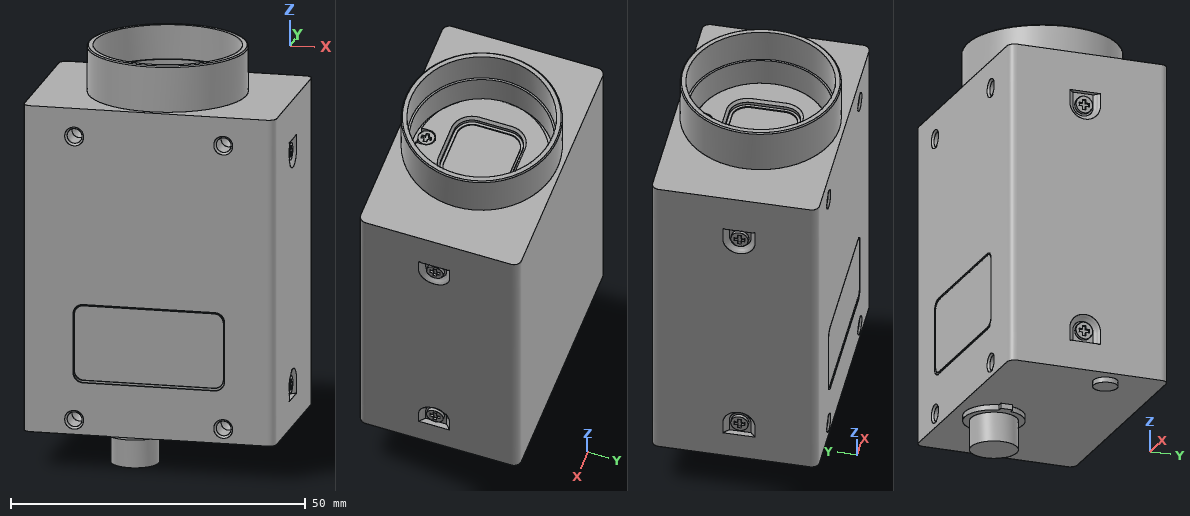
import cadquery as cq
import math

TOTAL_HEIGHT = 71.8
WIDTH = 44.0
DEPTH = 29.0
CORNER_RADIUS = 1.4

CONNECTOR_LENGTH = 6.2
HOUSING_HEIGHT = 57.5
REAR_CAP_HEIGHT = 5.0
FRONT_CAP_HEIGHT = 6.9
SLEEVE_TOP = HOUSING_HEIGHT - FRONT_CAP_HEIGHT
SLEEVE_HEIGHT = SLEEVE_TOP - REAR_CAP_HEIGHT
SLEEVE_JOINT_Y = -8.2

MOUNT_TOP = TOTAL_HEIGHT - CONNECTOR_LENGTH
MOUNT_RADIUS = 13.7
MOUNT_CHAMFER = 0.2
THREAD_RADIUS = 12.7
THREAD_DEPTH = 6.0
BORE_RADIUS = 12.35
SENSOR_PLATE_RADIUS = 11.5
SENSOR_PLATE_DEPTH = 10.35
SENSOR_PLATE_TOP = MOUNT_TOP - SENSOR_PLATE_DEPTH
MOAT_DEPTH = 1.45

WINDOW_WIDTH = 14.0
WINDOW_LENGTH = 13.3
WINDOW_RADIUS = 3.7
WINDOW_CHAMFER = 0.47
WINDOW_BEVEL_ANGLE = 45.0
WINDOW_DEPTH = 1.0
GLASS_MARGIN = 0.5
GLASS_DROP = 0.2

CROSS_SPAN_RATIO = 0.6
CROSS_SLOT_RATIO = 0.2
CROSS_DEPTH = 0.4
SENSOR_SCREW_RADIUS = 1.45
SENSOR_SCREW_OFFSET = 10.0
SENSOR_RECESS_RADIUS = 1.6
SENSOR_RECESS_DEPTH = 1.0
SENSOR_HEAD_HEIGHT = 0.9

POCKET_Y = -0.8
POCKET_SETBACK = 2.2
POCKET_RADIUS = 2.8
POCKET_STEP_RADIUS = 2.3
POCKET_FLOOR_RADIUS = 1.9
POCKET_CHAMFER = 0.3
POCKET_STEP_DEPTH = 0.6
POCKET_DEPTH = 1.0
SIDE_SCREW_RADIUS = 1.5
SIDE_HEAD_HEIGHT = 0.65

HOLE_OFFSET_X = 13.0
LOWER_HOLE_Z = 2.6
UPPER_HOLE_Z = HOUSING_HEIGHT - 4.95
HOLE_RADIUS = 1.3
HOLE_MOUTH_RADIUS = 1.65
HOLE_DEPTH = 4.0
DRILL_TIP_ANGLE = 118.0

LABEL_WIDTH = 26.4
LABEL_HEIGHT = 13.8
LABEL_Z = 16.1
LABEL_RADIUS = 1.8
LABEL_DEPTH = 0.3
LABEL_THICKNESS = 0.2
LABEL_GAP = 0.2
LABEL_LOWER_GAP = 0.4

BASE_THICKNESS = 0.9
CONNECTOR_X = -4.0
CONNECTOR_Y = -7.25
CONNECTOR_RADIUS = 4.2
CONNECTOR_BASE_RADIUS = 5.3
KEY_REACH = 6.0
KEY_WIDTH = 2.15
INDICATOR_X = 18.0
INDICATOR_Y = 4.45
INDICATOR_RADIUS = 2.15


def block(height, bottom):
    """Housing section with rounded vertical edges."""
    return (
        cq.Workplane("XY", origin=(0, 0, bottom))
        .rect(WIDTH, DEPTH)
        .extrude(height)
        .edges("|Z")
        .fillet(CORNER_RADIUS)
    )


def disc(x, y, bottom, radius, height):
    return cq.Workplane("XY", origin=(x, y, bottom)).circle(radius).extrude(height)


def cross_screw(radius, height):
    """Screw head standing on Z = 0, with a cross recess in its top."""
    span = 2 * radius * CROSS_SPAN_RATIO
    slot = 2 * radius * CROSS_SLOT_RATIO
    cutter = cq.Workplane("XY", origin=(0, 0, height - CROSS_DEPTH)).rect(span, slot).extrude(CROSS_DEPTH)
    cutter = cutter.union(cutter.rotate((0, 0, 0), (0, 0, 1), 90))
    return disc(0, 0, 0, radius, height).cut(cutter)


def mount_body():
    ring = disc(0, 0, HOUSING_HEIGHT, MOUNT_RADIUS, MOUNT_TOP - HOUSING_HEIGHT)
    return ring.faces(">Z").edges().chamfer(MOUNT_CHAMFER)


def mount_bore():
    """Threaded mouth above a narrower bore, with a moat around the raised sensor plate."""
    ledge = MOUNT_TOP - THREAD_DEPTH
    moat_floor = SENSOR_PLATE_TOP - MOAT_DEPTH
    profile = [
        (0, SENSOR_PLATE_TOP),
        (SENSOR_PLATE_RADIUS, SENSOR_PLATE_TOP),
        (SENSOR_PLATE_RADIUS, moat_floor),
        (BORE_RADIUS, moat_floor),
        (BORE_RADIUS, ledge),
        (THREAD_RADIUS, ledge),
        (THREAD_RADIUS, MOUNT_TOP),
        (0, MOUNT_TOP),
    ]
    return cq.Workplane("XZ").polyline(profile).close().revolve(360, (0, 0), (0, 1))


def window_pocket(inset, depth, taper=0):
    """Window-shaped cutter reaching down from the sensor plate."""
    outline = (
        cq.Sketch()
        .rect(WINDOW_WIDTH - 2 * inset, WINDOW_LENGTH - 2 * inset)
        .vertices()
        .fillet(WINDOW_RADIUS - inset)
    )
    plate_plane = cq.Workplane("XY", origin=(0, 0, SENSOR_PLATE_TOP))
    return plate_plane.placeSketch(outline).extrude(-depth, taper=taper)


def window_cutter():
    bevel = window_pocket(0, WINDOW_CHAMFER, taper=WINDOW_BEVEL_ANGLE)
    frame = window_pocket(WINDOW_CHAMFER, WINDOW_DEPTH)
    glass = window_pocket(WINDOW_CHAMFER + GLASS_MARGIN, WINDOW_DEPTH + GLASS_DROP)
    return bevel.union(frame).union(glass)


def sensor_screw_recess(side):
    """U-shaped recess that opens into the moat."""
    bottom = SENSOR_PLATE_TOP - SENSOR_RECESS_DEPTH
    length = SENSOR_PLATE_RADIUS - SENSOR_SCREW_OFFSET
    round_end = disc(0, side * SENSOR_SCREW_OFFSET, bottom, SENSOR_RECESS_RADIUS, SENSOR_RECESS_DEPTH)
    open_end = (
        cq.Workplane("XY", origin=(0, side * (SENSOR_SCREW_OFFSET + length / 2), bottom))
        .rect(2 * SENSOR_RECESS_RADIUS, length)
        .extrude(SENSOR_RECESS_DEPTH)
    )
    return round_end.union(open_end)


def sensor_screw(side):
    screw = cross_screw(SENSOR_SCREW_RADIUS, SENSOR_HEAD_HEIGHT)
    return screw.translate((0, side * SENSOR_SCREW_OFFSET, SENSOR_PLATE_TOP - SENSOR_RECESS_DEPTH))


def side_pocket():
    """Stepped U-shaped cutter below Z = 0: round about the origin, open toward +Y at the cap joint."""
    half_section = [
        (POCKET_FLOOR_RADIUS, -POCKET_DEPTH),
        (POCKET_STEP_RADIUS, -POCKET_STEP_DEPTH),
        (POCKET_RADIUS - POCKET_CHAMFER, -POCKET_CHAMFER),
        (POCKET_RADIUS, 0),
    ]
    round_end = (
        cq.Workplane("XZ")
        .polyline([(0, -POCKET_DEPTH), *half_section, (0, 0)])
        .close()
        .revolve(360, (0, 0), (0, 1))
    )
    mirrored = [(-x, z) for x, z in reversed(half_section)]
    open_end = cq.Workplane("XZ").polyline(mirrored + half_section).close().extrude(-POCKET_SETBACK)
    return round_end.union(open_end)


def place_on_side(shape, x_side, at_top):
    """Move a feature from the XY plane to one side face, with its +Y pointing at the nearer cap."""
    if not at_top:
        shape = shape.rotate((0, 0, 0), (0, 0, 1), 180)
    z = SLEEVE_TOP - POCKET_SETBACK if at_top else REAR_CAP_HEIGHT + POCKET_SETBACK
    upright = shape.rotate((0, 0, 0), (1, 0, 0), 90).rotate((0, 0, 0), (0, 0, 1), x_side * 90)
    return upright.translate((x_side * WIDTH / 2, POCKET_Y, z))


def mounting_hole():
    """Countersunk blind hole with a drill tip, running along +Y from the origin."""
    tip = HOLE_RADIUS / math.tan(math.radians(DRILL_TIP_ANGLE / 2))
    profile = [
        (0, 0),
        (HOLE_MOUTH_RADIUS, 0),
        (HOLE_RADIUS, HOLE_MOUTH_RADIUS - HOLE_RADIUS),
        (HOLE_RADIUS, HOLE_DEPTH),
        (0, HOLE_DEPTH + tip),
    ]
    return cq.Workplane("XY").polyline(profile).close().revolve(360, (0, 0), (0, 1))


def label_panel(width, height, center_z, radius, back_y, thickness):
    """Rounded rectangular panel standing on the plane Y = back_y and extending toward -Y."""
    return (
        cq.Workplane("XZ", origin=(0, back_y, center_z))
        .rect(width, height)
        .extrude(thickness)
        .edges("|Y")
        .fillet(radius)
    )


def add_label(body):
    floor_y = LABEL_DEPTH - DEPTH / 2
    recess = label_panel(LABEL_WIDTH, LABEL_HEIGHT, LABEL_Z, LABEL_RADIUS, floor_y, LABEL_DEPTH)
    plate = label_panel(
        LABEL_WIDTH - 2 * LABEL_GAP,
        LABEL_HEIGHT - LABEL_GAP - LABEL_LOWER_GAP,
        LABEL_Z + (LABEL_LOWER_GAP - LABEL_GAP) / 2,
        LABEL_RADIUS - LABEL_GAP,
        floor_y,
        LABEL_THICKNESS,
    )
    return body.cut(recess).union(plate)


def connector():
    """Cylindrical plug on a keyed base; the key points to +X."""
    base = disc(CONNECTOR_X, CONNECTOR_Y, -BASE_THICKNESS, CONNECTOR_BASE_RADIUS, BASE_THICKNESS)
    key = (
        cq.Workplane("XY", origin=(CONNECTOR_X + KEY_REACH / 2, CONNECTOR_Y, -BASE_THICKNESS))
        .rect(KEY_REACH, KEY_WIDTH)
        .extrude(BASE_THICKNESS)
    )
    plug = disc(CONNECTOR_X, CONNECTOR_Y, -CONNECTOR_LENGTH, CONNECTOR_RADIUS, CONNECTOR_LENGTH)
    return base.union(key).union(plug)


rear_cap = block(REAR_CAP_HEIGHT, 0).union(connector())
rear_cap = rear_cap.union(disc(INDICATOR_X, INDICATOR_Y, -BASE_THICKNESS, INDICATOR_RADIUS, BASE_THICKNESS))

front_cap = block(FRONT_CAP_HEIGHT, SLEEVE_TOP).union(mount_body())

sleeve = add_label(block(SLEEVE_HEIGHT, REAR_CAP_HEIGHT))
for x_side in (-1, 1):
    for at_top in (False, True):
        sleeve = sleeve.cut(place_on_side(side_pocket(), x_side, at_top))
        screw = cross_screw(SIDE_SCREW_RADIUS, SIDE_HEAD_HEIGHT).translate((0, 0, -POCKET_DEPTH))
        sleeve = sleeve.union(place_on_side(screw, x_side, at_top))
joint_plane = cq.Workplane("XZ", origin=(0, SLEEVE_JOINT_Y, 0))
front_shell = sleeve.intersect(joint_plane.rect(2 * WIDTH, 2 * TOTAL_HEIGHT).extrude(DEPTH))
rear_shell = sleeve.cut(front_shell)

result = rear_cap.union(front_shell, clean=False).union(rear_shell, clean=False).union(front_cap, clean=False)

result = result.cut(mount_bore(), clean=False).cut(window_cutter(), clean=False)
for side in (-1, 1):
    result = result.cut(sensor_screw_recess(side), clean=False).union(sensor_screw(side), clean=False)

for x_side in (-1, 1):
    for hole_z in (LOWER_HOLE_Z, UPPER_HOLE_Z):
        hole = mounting_hole().translate((x_side * HOLE_OFFSET_X, -DEPTH / 2, hole_z))
        result = result.cut(hole, clean=False)